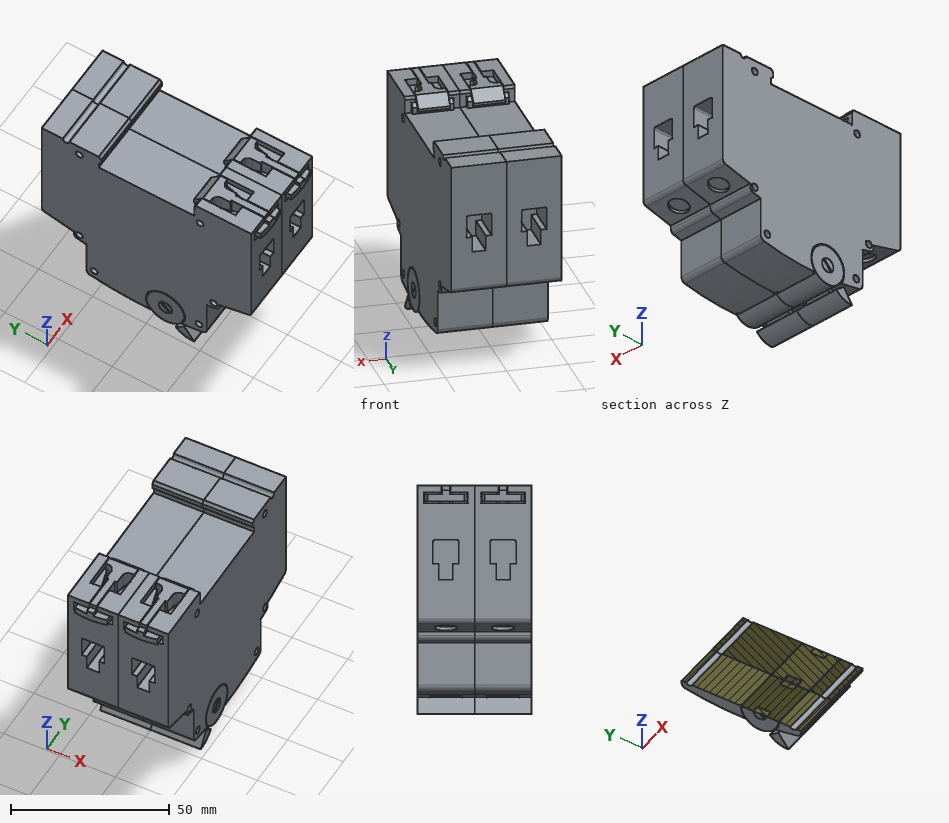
import cadquery as cq
import math


POLE_COUNT = 2
POLE_WIDTH = 36.0 / POLE_COUNT
TOTAL_DEPTH = 80.1
DEPTH = 78.1
MID_Y = DEPTH / 2
SHOULDER_SLOPE = 0.242
SHOULDER_Z = -43.2
EAR_Y = 12.0
EAR_CORNER_Z = -48.5
NOSE_Y = 16.7
NOSE_CORNER_Z = -64.4
NOSE_TIP_Z = -66.7
SHOULDER_RADIUS = 1.6
NOSE_RADIUS = 1.9

CHANNEL_Z = -5.6
CHANNEL_FRONT_Y = 21.2
CHANNEL_REAR_Y = 56.9
CHANNEL_BEVEL_Y = 0.5
CHANNEL_BEVEL_Z = 1.05
LIP_REACH = 1.0
LIP_LOWER_Z = -2.65
GROOVE_Y = 69.05
GROOVE_RADIUS = 1.2

RIVET_RADIUS = 1.3
EAR_RIVET_Y = 14.0
EAR_RIVET_Z = -46.5
NOSE_RIVET_Y = 19.55
NOSE_RIVET_Z = -61.5
REAR_TOP_RIVET = (64.1, -4.0)
FRONT_TOP_RIVET = (19.15, -8.1)

ENTRY_WIDTH = 8.2
ENTRY_TOP_Z = -17.15
ENTRY_STEP_Z = -24.7
ENTRY_SLOT_WIDTH = 4.4
ENTRY_BOTTOM_Z = -29.7
ENTRY_RADIUS = 0.65
ENTRY_DEPTH = 12.0
SCREW_RECESS_RADIUS = 3.5
SCREW_RECESS_Y = 6.9
SCREW_RECESS_DEPTH = 1.1

AXIS_Y = 32.0
AXIS_Z = -61.8
DRUM_RADIUS = 7.0
RING_GAP_WIDTH = 0.3
RING_GAP_DEPTH = 0.8
LEVER_ANGLE = math.radians(35.6)
STEM_LENGTH_X = 10.2
STEM_THICKNESS = 1.9
STEM_OFFSET = 0.8
HANDLE_BASE = 8.1
HANDLE_TIP = 14.5
HANDLE_FRONT = 2.8
HANDLE_REAR = 1.1
HANDLE_MID = (11.4, 0.2)
PIN_RADIUS = 2.5
PIN_LENGTH = 2.4
PIN_SLOT_WIDTH = 0.4
PIN_SLOT_DEPTH = 0.4
PIN_SLOT_ANGLE = 45

BAR_WIDTH = 2.4
NECK_WIDTH = 4.0
NECK_FRONT_Y = 12.3
HEAD_FRONT_Y = 17.8
HEAD_WIDTH = 10.4
HEAD_TOP_Y = 20.4
LATCH_Y = 23.95
LATCH_LAND = 0.8
TAB_WIDTH = 13.45
TAB_REAR_Y = 22.5
TAB_TOP_Z = -2.2
TAB_RADIUS = 2.3
NECK_FILLET = 2.1
PLATE_TOP_Z = -2.7
PLATE_BOTTOM_Z = -5.05
VEE_FRONT_Y = 8.6
VEE_FRONT_WIDTH = 4.3
VEE_REAR_WIDTH = 9.3
GRIP_WIDTH = 11.5
GRIP_REAR_Y = 1.2
FLARE_REAR_Y = 4.65
GRIP_SIDE_Y = -1.4
GRIP_FRONT_Y = DEPTH - TOTAL_DEPTH
GRIP_RIB_Z = -1.45

TUNNEL_WIDTH = 13.85
TUNNEL_TOP_Z = TAB_TOP_Z
POCKET_WIDTH = 10.8
POCKET_FRONT_Y = 8.2
BAR_SLOT_WIDTH = 2.9


def box(width, y_range, z_range):
    """Block centred on X = 0 between two Y and two Z positions."""
    return (
        cq.Workplane("XY")
        .box(width, y_range[1] - y_range[0], z_range[1] - z_range[0])
        .translate((0, sum(y_range) / 2, sum(z_range) / 2))
    )


def across(width):
    """YZ sketch plane from which an extrusion of this width is centred on X = 0."""
    return cq.Workplane("YZ", origin=(-width / 2, 0, 0))


def both_ends(tool):
    """The tool together with its mirror image at the rear end."""
    return tool.union(tool.mirror("XZ", (0, MID_Y, 0)))


def housing_block():
    ear_step_z = SHOULDER_Z - SHOULDER_SLOPE * EAR_Y
    ear_end_z = EAR_CORNER_Z - SHOULDER_SLOPE * (NOSE_Y - EAR_Y)
    front_side = [
        (0, SHOULDER_Z),
        (EAR_Y, ear_step_z),
        (EAR_Y, EAR_CORNER_Z),
        (NOSE_Y, ear_end_z),
        (NOSE_Y, NOSE_CORNER_Z),
    ]
    rear_side = [(DEPTH - y, z) for y, z in reversed(front_side)]
    lip_y = CHANNEL_REAR_Y - LIP_REACH
    sketch = across(POLE_WIDTH).moveTo(0, 0)
    for point in front_side:
        sketch = sketch.lineTo(*point)
    sketch = sketch.threePointArc((MID_Y, NOSE_TIP_Z), rear_side[0])
    for point in rear_side[1:]:
        sketch = sketch.lineTo(*point)
    block = (
        sketch.lineTo(DEPTH, 0)
        .lineTo(CHANNEL_REAR_Y, 0)
        .lineTo(lip_y, -LIP_REACH)
        .lineTo(lip_y, LIP_LOWER_Z)
        .lineTo(CHANNEL_REAR_Y, LIP_LOWER_Z - LIP_REACH)
        .lineTo(CHANNEL_REAR_Y, CHANNEL_Z)
        .lineTo(CHANNEL_FRONT_Y, CHANNEL_Z)
        .lineTo(CHANNEL_FRONT_Y, -CHANNEL_BEVEL_Z)
        .lineTo(CHANNEL_FRONT_Y - CHANNEL_BEVEL_Y, 0)
        .close()
        .extrude(POLE_WIDTH)
    )
    rounded_corners = [
        (0, SHOULDER_Z, SHOULDER_RADIUS),
        (EAR_Y, EAR_CORNER_Z, SHOULDER_RADIUS),
        (NOSE_Y, NOSE_CORNER_Z, NOSE_RADIUS),
    ]
    for y, z, radius in rounded_corners:
        for corner_y in (y, DEPTH - y):
            corner = cq.selectors.NearestToPointSelector((0, corner_y, z))
            block = block.edges("|X").edges(corner).fillet(radius)
    return block


def side_holes():
    """Rivet holes and finger groove, through the full width."""
    rivets = [REAR_TOP_RIVET, FRONT_TOP_RIVET]
    for y, z in [(EAR_RIVET_Y, EAR_RIVET_Z), (NOSE_RIVET_Y, NOSE_RIVET_Z)]:
        rivets += [(y, z), (DEPTH - y, z)]
    holes = across(POLE_WIDTH).pushPoints(rivets).circle(RIVET_RADIUS).extrude(POLE_WIDTH)
    groove = across(POLE_WIDTH).center(GROOVE_Y, 0).circle(GROOVE_RADIUS).extrude(POLE_WIDTH)
    return holes.union(groove)


def lever_bore():
    """Bore that fits the lever drum, slightly wider at both sides of the pole."""
    bore = across(POLE_WIDTH).center(AXIS_Y, AXIS_Z).circle(DRUM_RADIUS).extrude(POLE_WIDTH)
    for side in (-1, 1):
        ring = (
            cq.Workplane("YZ", origin=(side * POLE_WIDTH / 2, AXIS_Y, AXIS_Z))
            .circle(DRUM_RADIUS + RING_GAP_WIDTH)
            .extrude(-side * RING_GAP_DEPTH)
        )
        bore = bore.union(ring)
    return bore


def wire_entry():
    mouth = box(ENTRY_WIDTH, (0, ENTRY_DEPTH), (ENTRY_STEP_Z, ENTRY_TOP_Z))
    mouth = mouth.edges("|Y and >Z").fillet(ENTRY_RADIUS)
    slot = box(ENTRY_SLOT_WIDTH, (0, ENTRY_DEPTH), (ENTRY_BOTTOM_Z, ENTRY_STEP_Z))
    return mouth.union(slot)


def screw_recess():
    """Shallow round recess square to the sloping shoulder."""
    centre = (0, SCREW_RECESS_Y, SHOULDER_Z - SHOULDER_SLOPE * SCREW_RECESS_Y)
    plane = cq.Plane(origin=centre, xDir=(1, 0, 0), normal=(0, SHOULDER_SLOPE, 1))
    return cq.Workplane(plane).circle(SCREW_RECESS_RADIUS).extrude(SCREW_RECESS_DEPTH)


def clip_passage():
    tunnel = box(TUNNEL_WIDTH, (0, CHANNEL_FRONT_Y), (CHANNEL_Z, TUNNEL_TOP_Z))
    pocket = box(POCKET_WIDTH, (POCKET_FRONT_Y, CHANNEL_FRONT_Y), (CHANNEL_Z, 0))
    bar_slot = box(BAR_SLOT_WIDTH, (0, POCKET_FRONT_Y), (CHANNEL_Z, 0))
    return tunnel.union(pocket).union(bar_slot)


def make_housing():
    return (
        housing_block()
        .cut(side_holes())
        .cut(lever_bore())
        .cut(both_ends(wire_entry()))
        .cut(both_ends(screw_recess()))
        .cut(clip_passage())
    )


def clip_plan():
    """Bar, neck and rounded head in the XY plane, at full height."""
    bar = BAR_WIDTH / 2
    neck = NECK_WIDTH / 2
    tab = TAB_WIDTH / 2
    fillet_centre = (neck + NECK_FILLET, HEAD_FRONT_Y - NECK_FILLET)
    fillet_reach = NECK_FILLET * math.sqrt(0.5)
    fillet_mid = (fillet_centre[0] - fillet_reach, fillet_centre[1] + fillet_reach)
    round_centre = (tab - TAB_RADIUS, HEAD_FRONT_Y + TAB_RADIUS)
    round_reach = TAB_RADIUS * math.sqrt(0.5)
    round_mid = (round_centre[0] + round_reach, round_centre[1] - round_reach)
    half = (
        cq.Workplane("XY", origin=(0, 0, CHANNEL_Z))
        .moveTo(0, 0)
        .lineTo(bar, 0)
        .lineTo(bar, NECK_FRONT_Y)
        .lineTo(neck, NECK_FRONT_Y)
        .lineTo(neck, fillet_centre[1])
        .threePointArc(fillet_mid, (fillet_centre[0], HEAD_FRONT_Y))
        .lineTo(round_centre[0], HEAD_FRONT_Y)
        .threePointArc(round_mid, (tab, round_centre[1]))
        .lineTo(tab, LATCH_Y)
        .lineTo(0, LATCH_Y)
        .close()
        .extrude(-CHANNEL_Z)
    )
    return half.union(half.mirror("YZ"))


def clip_side_envelope():
    """Latch nose over the head width, lower tabs over the full width."""
    latch_z = HEAD_TOP_Y - LATCH_Y
    tab_drop = TAB_REAR_Y - CHANNEL_FRONT_Y
    head = (
        across(HEAD_WIDTH)
        .polyline([
            (0, 0),
            (HEAD_TOP_Y, 0),
            (LATCH_Y, latch_z),
            (LATCH_Y, latch_z - LATCH_LAND),
            (TAB_REAR_Y, CHANNEL_Z),
            (0, CHANNEL_Z),
        ])
        .close()
        .extrude(HEAD_WIDTH)
    )
    tabs = (
        across(TAB_WIDTH)
        .polyline([
            (0, TAB_TOP_Z),
            (CHANNEL_FRONT_Y, TAB_TOP_Z),
            (TAB_REAR_Y, TAB_TOP_Z - tab_drop),
            (TAB_REAR_Y, CHANNEL_Z),
            (0, CHANNEL_Z),
        ])
        .close()
        .extrude(TAB_WIDTH)
    )
    return head.union(tabs)


def clip_plate():
    """Flat plate from the finger grip to the head, with a V opening behind the bar."""
    grip_side = GRIP_WIDTH / 2
    tab_side = TAB_WIDTH / 2
    tab_front_y = HEAD_FRONT_Y + TAB_RADIUS
    vee_front = VEE_FRONT_WIDTH / 2
    vee_rear = VEE_REAR_WIDTH / 2
    thickness = PLATE_TOP_Z - PLATE_BOTTOM_Z
    base = cq.Workplane("XY", origin=(0, 0, PLATE_BOTTOM_Z))
    plate = (
        base.moveTo(-grip_side, GRIP_REAR_Y)
        .lineTo(-grip_side, GRIP_SIDE_Y)
        .threePointArc((0, GRIP_FRONT_Y), (grip_side, GRIP_SIDE_Y))
        .lineTo(grip_side, GRIP_REAR_Y)
        .lineTo(tab_side, FLARE_REAR_Y)
        .lineTo(tab_side, tab_front_y)
        .lineTo(-tab_side, tab_front_y)
        .lineTo(-tab_side, FLARE_REAR_Y)
        .close()
        .extrude(thickness)
    )
    vee = (
        base.polyline([
            (-vee_front, VEE_FRONT_Y),
            (vee_front, VEE_FRONT_Y),
            (vee_rear, HEAD_FRONT_Y),
            (-vee_rear, HEAD_FRONT_Y),
        ])
        .close()
        .extrude(thickness)
    )
    return plate.cut(vee)


def clip_rib():
    """Rib on the grip in line with the bar, with the same bowed front as the grip."""
    bar = BAR_WIDTH / 2
    bow_depth = GRIP_SIDE_Y - GRIP_FRONT_Y
    bow_radius = ((GRIP_WIDTH / 2) ** 2 + bow_depth ** 2) / (2 * bow_depth)
    rib_side_y = GRIP_FRONT_Y + bow_radius - math.sqrt(bow_radius ** 2 - bar ** 2)
    return (
        cq.Workplane("XY", origin=(0, 0, PLATE_BOTTOM_Z))
        .moveTo(-bar, 0)
        .lineTo(-bar, rib_side_y)
        .threePointArc((0, GRIP_FRONT_Y), (bar, rib_side_y))
        .lineTo(bar, 0)
        .close()
        .extrude(GRIP_RIB_Z - PLATE_BOTTOM_Z)
    )


def make_clip():
    bar_and_head = clip_plan().intersect(clip_side_envelope())
    return clip_plate().union(bar_and_head).union(clip_rib())


def lever_sketch(width):
    """Sketch plane on the lever axis: local x runs out along the stem, local y to the rear."""
    out = (0, -math.sin(LEVER_ANGLE), -math.cos(LEVER_ANGLE))
    return cq.Workplane(cq.Plane(origin=(-width / 2, AXIS_Y, AXIS_Z), xDir=out, normal=(1, 0, 0)))


def make_lever():
    drum = lever_sketch(POLE_WIDTH).circle(DRUM_RADIUS).extrude(POLE_WIDTH)
    stem = (
        lever_sketch(STEM_LENGTH_X)
        .center(HANDLE_BASE / 2, -STEM_OFFSET)
        .rect(HANDLE_BASE, STEM_THICKNESS)
        .extrude(STEM_LENGTH_X)
    )
    handle = (
        lever_sketch(POLE_WIDTH)
        .moveTo(HANDLE_BASE, -HANDLE_FRONT)
        .lineTo(HANDLE_BASE, HANDLE_REAR)
        .threePointArc(HANDLE_MID, (HANDLE_TIP, -HANDLE_FRONT))
        .close()
        .extrude(POLE_WIDTH)
    )
    return drum.union(stem).union(handle).cut(pin_blank(-1)).cut(pin_blank(1))


def pin_blank(side):
    """Plain pin flush with one side of the pole: side is -1 for -X and 1 for +X."""
    return (
        cq.Workplane("YZ", origin=(side * POLE_WIDTH / 2, AXIS_Y, AXIS_Z))
        .circle(PIN_RADIUS)
        .extrude(-side * PIN_LENGTH)
    )


def make_pin(side):
    slot = (
        cq.Workplane("YZ", origin=(side * POLE_WIDTH / 2, AXIS_Y, AXIS_Z))
        .transformed(rotate=(0, 0, PIN_SLOT_ANGLE))
        .rect(2 * PIN_RADIUS, PIN_SLOT_WIDTH)
        .extrude(-side * PIN_SLOT_DEPTH)
    )
    return pin_blank(side).cut(slot)


pole_parts = [make_housing(), make_clip(), make_lever(), make_pin(-1), make_pin(1)]
bodies = []
for pole in range(POLE_COUNT):
    pole_x = (pole - (POLE_COUNT - 1) / 2) * POLE_WIDTH
    for part in pole_parts:
        bodies += part.translate((pole_x, 0, 0)).solids().vals()

result = cq.Compound.makeCompound(bodies)